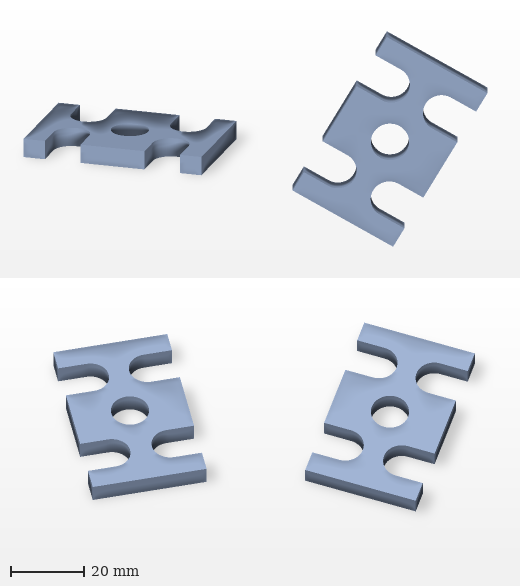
import cadquery as cq

length = 50.8
width = 31.75
thickness = 5.25

hole_diameter = 10.41

slot_width = 10.16
slot_offset = 14.224
left_web = 5.74
right_web = 6.096


def make_plate():
    """Rectangular plate centred on the origin, with its central hole."""
    plate = cq.Workplane("XY").box(length, width, thickness)
    return plate.faces(">Z").workplane().hole(hole_diameter)


def make_slot(x, web, side):
    """Cutter for one round-ended slot; side is +1 for the +Y edge, -1 for -Y."""
    radius = slot_width / 2
    edge_y = side * width / 2
    round_end_y = side * web / 2
    arc_centre_y = round_end_y + side * radius
    return (
        cq.Workplane("XY")
        .workplane(offset=-thickness / 2)
        .moveTo(x - radius, edge_y)
        .lineTo(x - radius, arc_centre_y)
        .threePointArc((x, round_end_y), (x + radius, arc_centre_y))
        .lineTo(x + radius, edge_y)
        .close()
        .extrude(thickness)
    )


result = make_plate()
for slot_x, slot_web in ((-slot_offset, left_web), (slot_offset, right_web)):
    for edge_side in (-1, 1):
        result = result.cut(make_slot(slot_x, slot_web, edge_side))